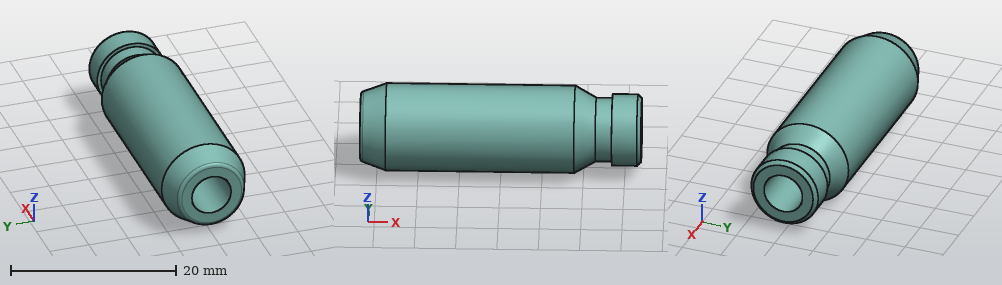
import math

import cadquery as cq

length = 34.0
body_diameter = 10.6
bore_diameter = 5.0

nose_length = 3.13
nose_angle = 20.0
nose_edge_radius = 0.5

shoulder_length = 2.55
neck_length = 1.97
neck_diameter = 7.75
collar_length = 3.55
collar_diameter = 8.7
collar_chamfer = 0.48

body_radius = body_diameter / 2
bore_radius = bore_diameter / 2
neck_radius = neck_diameter / 2
collar_radius = collar_diameter / 2
nose_tip_radius = body_radius - nose_length * math.tan(math.radians(nose_angle))

left_end = -length / 2
right_end = length / 2
nose_end = left_end + nose_length
collar_start = right_end - collar_length
neck_start = collar_start - neck_length
shoulder_start = neck_start - shoulder_length

half_section = (
    cq.Workplane("XY")
    .moveTo(left_end, bore_radius)
    .lineTo(left_end, nose_tip_radius)
    .lineTo(nose_end, body_radius)
    .lineTo(shoulder_start, body_radius)
    .lineTo(neck_start, neck_radius)
    .lineTo(collar_start, neck_radius)
    .lineTo(collar_start, collar_radius)
    .lineTo(right_end - collar_chamfer, collar_radius)
    .lineTo(right_end, collar_radius - collar_chamfer)
    .lineTo(right_end, bore_radius)
    .close()
)
sleeve = half_section.revolve(360, (0, 0, 0), (1, 0, 0))

outermost_edge = cq.selectors.RadiusNthSelector(-1)
result = sleeve.faces("<X").edges(outermost_edge).fillet(nose_edge_radius)